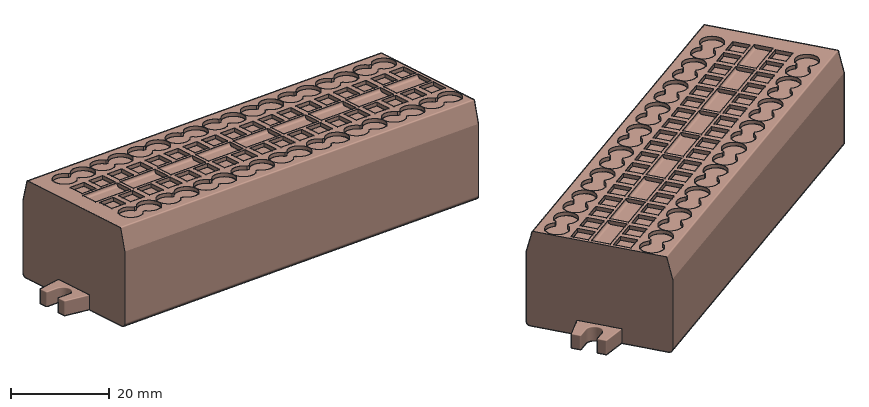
import cadquery as cq

body_width = 32.1
body_length = 94.2
body_height = 22.0
top_width = 29.4
slope_height = 5.0
bottom_fillet = 1.0
top_fillet = 0.3

overall_length = 105.8
tab_height = 3.4
tab_root_width = 9.9
tab_tip_width = 7.8
tab_tip_fillet = 0.3
tab_rim_fillet = 0.2
fork_width = 3.4
fork_floor = 1.2

pole_count = 9
first_to_last_pole = 80.1
pole_pitch = first_to_last_pole / (pole_count - 1)
contact_pitch = pole_pitch / 2
first_pole_y = 41.9
pocket_depth = 0.8

entry_x = 10.4
entry_radius = 2.5
entry_spacing = 4.9
entry_shift = -0.1
entry_neck_width = 2.8

square_x = 4.7
square_width = 3.8
square_length = 3.7

label_width = 4.1
label_length = 9.2
label_shift = -0.2
label_fillet = 0.6

pole_centers = [first_pole_y - i * pole_pitch for i in range(pole_count)]


def make_body():
    half_width = body_width / 2
    shoulder_z = body_height - slope_height
    return (
        cq.Workplane("XZ")
        .moveTo(-half_width, 0)
        .lineTo(half_width, 0)
        .lineTo(half_width, shoulder_z)
        .lineTo(top_width / 2, body_height)
        .lineTo(-top_width / 2, body_height)
        .lineTo(-half_width, shoulder_z)
        .close()
        .extrude(body_length / 2, both=True)
        .edges("|Y and <Z")
        .fillet(bottom_fillet)
        .edges("|Y and >Z")
        .fillet(top_fillet)
    )


def make_tab():
    """Tab on the +Y end: a tapered plate with an open, round-ended slot."""
    root_y = body_length / 2
    tip_y = overall_length / 2
    plate = (
        cq.Workplane("XY")
        .moveTo(-tab_root_width / 2, root_y)
        .lineTo(tab_root_width / 2, root_y)
        .lineTo(tab_tip_width / 2, tip_y)
        .lineTo(-tab_tip_width / 2, tip_y)
        .close()
        .extrude(tab_height)
    )
    fork_radius = fork_width / 2
    arc_y = root_y + fork_floor + fork_radius
    fork = (
        cq.Workplane("XY")
        .moveTo(-fork_radius, tip_y)
        .lineTo(-fork_radius, arc_y)
        .threePointArc((0, root_y + fork_floor), (fork_radius, arc_y))
        .lineTo(fork_radius, tip_y)
        .close()
        .extrude(tab_height)
    )
    tab = plate.cut(fork).edges("|Z and >Y").fillet(tab_tip_fillet)
    return tab.faces("<Z or >Z").edges("not <Y").fillet(tab_rim_fillet)


def pocket_plane():
    return cq.Workplane("XY", origin=(0, 0, body_height - pocket_depth))


def make_wire_entries():
    neck_points = [(side * entry_x, y + entry_shift) for side in (-1, 1) for y in pole_centers]
    round_points = [
        (x, y + end * entry_spacing / 2) for x, y in neck_points for end in (-1, 1)
    ]
    rounds = pocket_plane().pushPoints(round_points).circle(entry_radius).extrude(pocket_depth)
    neck_plane = pocket_plane().pushPoints(neck_points)
    necks = neck_plane.rect(entry_neck_width, entry_spacing).extrude(pocket_depth)
    return rounds.union(necks)


def make_square_pockets():
    points = [
        (side * square_x, y + end * contact_pitch / 2)
        for side in (-1, 1)
        for y in pole_centers
        for end in (-1, 1)
    ]
    return pocket_plane().pushPoints(points).rect(square_width, square_length).extrude(pocket_depth)


def make_label_grooves():
    points = [(0, y + label_shift) for y in pole_centers]
    return (
        pocket_plane()
        .pushPoints(points)
        .rect(label_width, label_length)
        .extrude(pocket_depth)
        .edges("<Z and |Y")
        .fillet(label_fillet)
    )


tab = make_tab()
result = make_body().union(tab).union(tab.mirror("XZ"))
for pockets in (make_wire_entries(), make_square_pockets(), make_label_grooves()):
    result = result.cut(pockets)